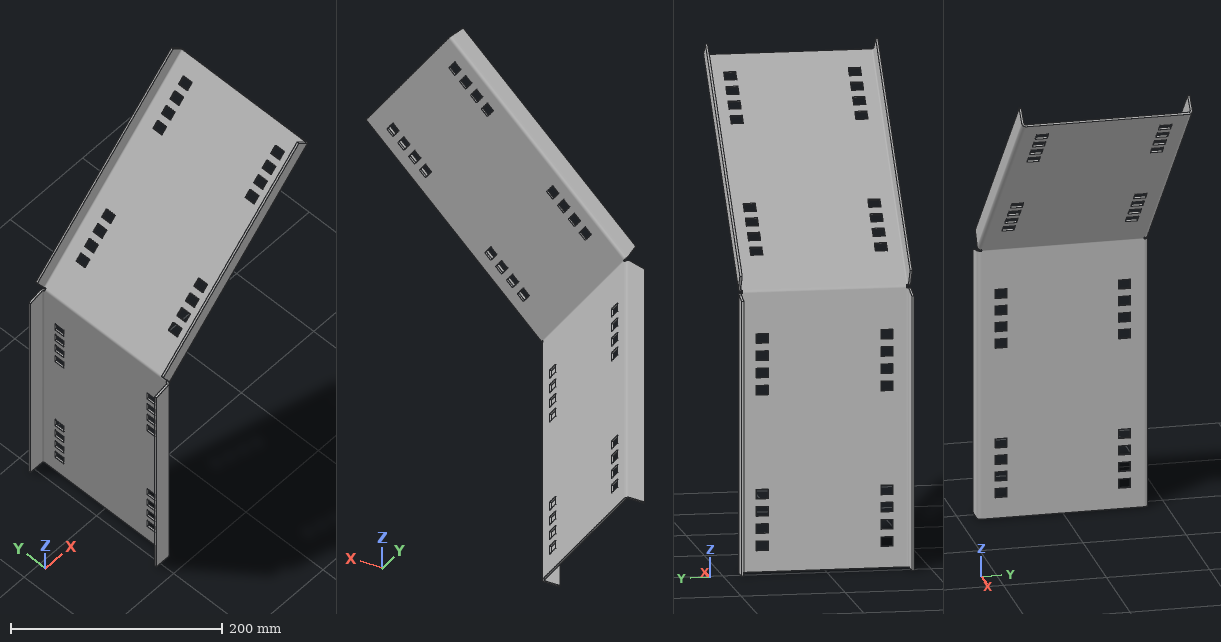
import cadquery as cq
import math

overall_length = 211.0
overall_width = 166.0
overall_height = 475.0

sheet = 2.3
flange_height = 20.0
inner_radius = 1.7
outer_radius = inner_radius + sheet
elbow_angle = 45.0
relief_angle = 15.0

slot_width = 11.5
slot_height = 9.0
slot_pitch = 16.5
slots_per_group = 4
groups_per_row = 2
first_slot = 25.0
group_spacing = 150.0
row_spacing = 119.5

elbow = math.radians(elbow_angle)
upper_length = (overall_length - flange_height) / math.sin(elbow)
lower_length = overall_height - upper_length * math.cos(elbow) - flange_height * math.sin(elbow)
elbow_setback = inner_radius * math.tan(elbow / 2)
relief_depth = (flange_height - outer_radius) * math.tan(math.radians(relief_angle))


def channel(length):
    """U-shaped tray with its back on the plane X = 0 and its flanges toward -X."""
    outside = (
        cq.Workplane("XY")
        .workplane(offset=elbow_setback)
        .center(-flange_height / 2, 0)
        .rect(flange_height, overall_width)
        .extrude(length - elbow_setback)
        .edges("|Z and >X")
        .fillet(outer_radius)
    )
    cavity = (
        cq.Workplane("XY")
        .center(-sheet - flange_height / 2, 0)
        .rect(flange_height, overall_width - 2 * sheet)
        .extrude(length)
        .edges("|Z and >X")
        .fillet(inner_radius)
    )
    return outside.cut(cavity)


def flange_relief():
    """Wedge that slants both flange ends away from the elbow."""
    return (
        cq.Workplane("XZ")
        .moveTo(-outer_radius, elbow_setback)
        .lineTo(-flange_height, elbow_setback)
        .lineTo(-flange_height, elbow_setback + relief_depth)
        .close()
        .extrude(overall_width / 2, both=True)
    )


def slots(length):
    """Cutters for all slots through the back of a leg."""
    centers = []
    for side in (-1, 1):
        for group in range(groups_per_row):
            for index in range(slots_per_group):
                from_end = first_slot + group * group_spacing + index * slot_pitch
                centers.append((side * row_spacing / 2, length - from_end))
    return (
        cq.Workplane("YZ")
        .pushPoints(centers)
        .rect(slot_width, slot_height)
        .extrude(sheet, both=True)
    )


def leg(length):
    """Finished leg rising from the elbow corner at the origin."""
    return channel(length).cut(flange_relief()).cut(slots(length))


def elbow_bend():
    """Curved back sheet joining the legs, between the flange bends."""
    axis_offset = inner_radius + sheet / 2
    return (
        cq.Workplane("XY")
        .workplane(offset=-elbow_setback)
        .center(-sheet / 2, 0)
        .rect(sheet, overall_width - 2 * outer_radius)
        .revolve(elbow_angle, (axis_offset, -4.8), (axis_offset, 4.8))
    )


lower_leg = leg(lower_length).mirror("XY")
upper_leg = leg(upper_length).rotate((0, 0, 0), (0, 1, 0), elbow_angle)

result = lower_leg.union(elbow_bend()).union(upper_leg).translate((0, 0, lower_length))